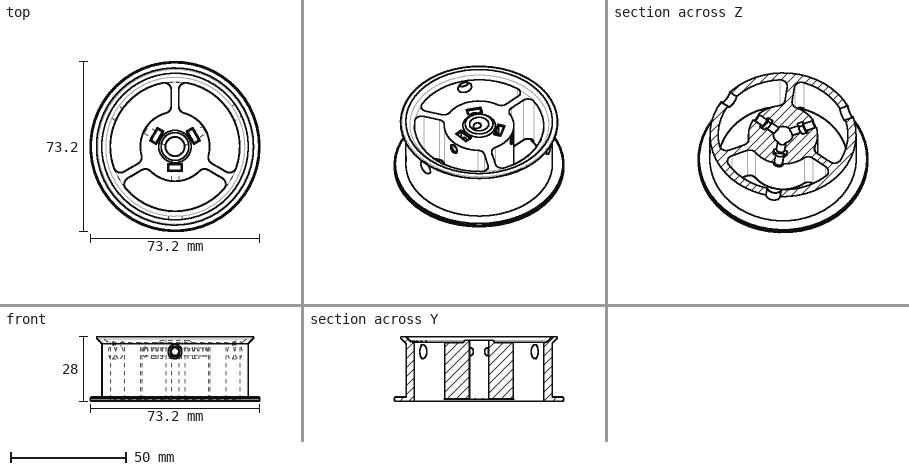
import cadquery as cq
import math

height = 28.0
flange_diameter = 73.25
flange_thickness = 2.0
drum_diameter = 63.25
edge_chamfer = 0.5

web_top = 25.5
web_bottom = 1.0

lip_angle = math.radians(45)
lip_cone_start = 25.0
lip_edge_radius = 0.5
lip_mouth_radius = drum_diameter / 2
lip_seat_radius = lip_mouth_radius - (height - web_top) / math.tan(lip_angle)
lip_blend_radius = 3.0

window_outer_radius = lip_seat_radius - lip_blend_radius * math.tan(lip_angle / 2)
hub_radius = 15.0
spoke_width = 3.3
window_fillet = 3.0
arm_count = 3
arm_pitch = 360 / arm_count
first_spoke_angle = 90.0

collar_height = 1.0
collar_base_radius = 7.0
collar_top_radius = collar_base_radius - collar_height
bore_diameter = 8.2

first_screw_angle = first_spoke_angle + arm_pitch / 2
screw_z = 21.5
screw_diameter = 3.4
screw_chamfer = 0.5
access_diameter = 6.0

nut_length = 5.6
nut_width = 2.4
nut_chamfer = 0.4
nut_center_radius = 9.1
nut_depth = web_top - screw_z + nut_length / 2


def arm_angles(first_angle):
    return [first_angle + i * arm_pitch for i in range(arm_count)]


def make_blank():
    """Flange, drum and lip as one revolved solid, open above the web."""
    flange_radius = flange_diameter / 2
    drum_radius = drum_diameter / 2
    lip_tip_radius = drum_radius + (height - lip_cone_start) / math.tan(lip_angle)
    round_center_r = lip_tip_radius - lip_edge_radius / math.tan(lip_angle / 2)
    round_center_z = height - lip_edge_radius
    round_start_r = round_center_r + lip_edge_radius * math.sin(lip_angle)
    round_start_z = round_center_z - lip_edge_radius * math.cos(lip_angle)
    blank = (
        cq.Workplane("XZ")
        .moveTo(0, 0)
        .lineTo(flange_radius - edge_chamfer, 0)
        .lineTo(flange_radius, edge_chamfer)
        .lineTo(flange_radius, flange_thickness - edge_chamfer)
        .lineTo(flange_radius - edge_chamfer, flange_thickness)
        .lineTo(drum_radius, flange_thickness)
        .lineTo(drum_radius, lip_cone_start)
        .lineTo(round_start_r, round_start_z)
        .threePointArc((round_center_r + lip_edge_radius, round_center_z), (round_center_r, height))
        .lineTo(0, height)
        .close()
        .revolve(360, (0, 0), (0, 1))
    )
    return blank.cut(make_mouth())


def make_mouth():
    """Conical recess inside the lip, blended into the web's top face."""
    blend_mid_r = window_outer_radius + lip_blend_radius * math.sin(lip_angle / 2)
    blend_mid_z = web_top + lip_blend_radius * (1 - math.cos(lip_angle / 2))
    blend_end_r = window_outer_radius + lip_blend_radius * math.sin(lip_angle)
    blend_end_z = web_top + lip_blend_radius * (1 - math.cos(lip_angle))
    return (
        cq.Workplane("XZ")
        .moveTo(0, web_top)
        .lineTo(window_outer_radius, web_top)
        .threePointArc((blend_mid_r, blend_mid_z), (blend_end_r, blend_end_z))
        .lineTo(lip_mouth_radius, height)
        .lineTo(0, height)
        .close()
        .revolve(360, (0, 0), (0, 1))
    )


def make_windows():
    """Openings between the spokes, right through the wheel."""
    windows = cq.Workplane("XY").circle(window_outer_radius).circle(hub_radius).extrude(web_top)
    for angle in arm_angles(first_spoke_angle):
        spoke = (
            cq.Workplane("XY")
            .center(window_outer_radius, 0)
            .rect(2 * window_outer_radius, spoke_width)
            .extrude(web_top)
            .rotate((0, 0, 0), (0, 0, 1), angle)
        )
        windows = windows.cut(spoke)
    return windows.edges("|Z").fillet(window_fillet)


def make_underside_recess():
    """Shallow round recess lifting the hub and spokes off the bottom plane."""
    return cq.Workplane("XY").circle(window_outer_radius).extrude(web_bottom)


def make_collar():
    return (
        cq.Workplane("XY", origin=(0, 0, web_top))
        .circle(collar_base_radius)
        .workplane(offset=collar_height)
        .circle(collar_top_radius)
        .loft()
    )


def make_screw_cut():
    """Radial set screw hole along +X with its mouth chamfer and drum access hole."""
    screw_radius = screw_diameter / 2
    axis_plane = cq.Workplane("YZ", origin=(0, 0, screw_z))
    hole = axis_plane.circle(screw_radius).extrude(hub_radius)
    chamfer_cone = (
        axis_plane.workplane(offset=hub_radius - screw_chamfer)
        .circle(screw_radius)
        .workplane(offset=screw_chamfer)
        .circle(screw_radius + screw_chamfer)
        .loft()
    )
    access_length = drum_diameter / 2
    access_start = (hub_radius + window_outer_radius) / 2
    access = axis_plane.workplane(offset=access_start).circle(access_diameter / 2).extrude(access_length)
    return hole.union(chamfer_cone).union(access)


def make_nut_pocket():
    """Rectangular nut pocket crossing the +X set screw, chamfered at the top."""
    pocket_plane = cq.Workplane("XY", origin=(nut_center_radius, 0, web_top))
    pocket = pocket_plane.rect(nut_width, nut_length).extrude(-nut_depth)
    mouth = (
        pocket_plane.rect(nut_width + 2 * nut_chamfer, nut_length + 2 * nut_chamfer)
        .workplane(offset=-nut_chamfer)
        .rect(nut_width, nut_length)
        .loft()
    )
    return pocket.union(mouth)


wheel = make_blank().cut(make_windows()).cut(make_underside_recess()).union(make_collar())
wheel = wheel.cut(cq.Workplane("XY").circle(bore_diameter / 2).extrude(height))
for screw_angle in arm_angles(first_screw_angle):
    for cutter in (make_screw_cut(), make_nut_pocket()):
        wheel = wheel.cut(cutter.rotate((0, 0, 0), (0, 0, 1), screw_angle))

result = wheel